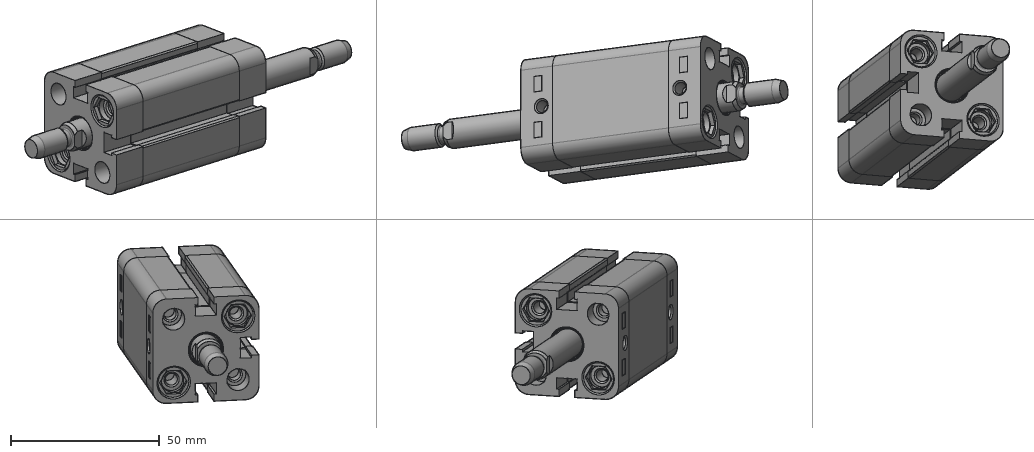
import cadquery as cq
import math


body_size = 36.3
half_size = body_size / 2
corner_radius = 4.7
cap_length = 12.0
barrel_length = 43.5
body_length = 2 * cap_length + barrel_length

slot_opening = 5.5
slot_lip = 2.5
cap_slot_width = 7.2
cap_slot_depth = 6.4
barrel_slot_width = 6.4
barrel_slot_depth = 6.1
barrel_lip_chamfer = 0.5
slot_angles = (-90, 0, 90)

rod_diameter = 10.0
stroke = 30.0
front_reach = 22.3
rear_reach = front_reach + stroke
thread_diameter = 8.0
thread_tip_diameter = 6.4
thread_tip_length = 2.6
thread_length = 13.6
thread_root_chamfer = 0.6
neck_diameter = 5.8
neck_length = 2.4
neck_fillet = 0.4
shoulder_chamfer_length = 1.4
shoulder_end_diameter = 8.8
flat_distance = 8.0
flat_length = 3.5
seal_recess_diameter = 12.0
seal_recess_chamfer = 0.3
seal_recess_depth = 1.0
seal_diameter = 10.9
seal_depth = 1.5

hole_offset = 11.0
bore_diameter = 7.55
bore_depth = 6.5
pilot_mouth_diameter = 5.2
pilot_diameter = 4.13
pilot_depth = 11.0
mouth_depth = (pilot_mouth_diameter - pilot_diameter) / 2
socket_mouth_diameter = 11.4
socket_recess_diameter = 10.48
socket_recess_depth = (socket_mouth_diameter - socket_recess_diameter) / 2
hex_across_flats = 8.1
hex_across_corners = hex_across_flats / math.cos(math.radians(30))
hex_depth = 2.0
socket_bore_depth = 4.0

port_from_face = 7.75
port_depth = 6.0
pad_from_face = 6.4
pad_offset = 8.0
pad_length = 3.0
pad_height = 5.4
pad_depth = 0.2


def y_cylinder(diameter, start, length, x=0, z=0):
    """Cylinder along +Y from Y = start."""
    return (
        cq.Workplane("XZ", origin=(x, start, z))
        .circle(diameter / 2)
        .extrude(-length)
    )


def y_cone(start_diameter, end_diameter, start, length, x=0, z=0):
    """Truncated cone along +Y from Y = start."""
    cone = cq.Solid.makeCone(
        start_diameter / 2,
        end_diameter / 2,
        length,
        pnt=cq.Vector(x, start, z),
        dir=cq.Vector(0, 1, 0),
    )
    return cq.Workplane(cone)


def pilot_hole(start, length, x=0, z=0):
    """Small hole with a conical mouth, along +Y from Y = start."""
    mouth = y_cone(pilot_mouth_diameter, pilot_diameter, start, mouth_depth, x, z)
    return y_cylinder(pilot_diameter, start, length, x, z).union(mouth)


def slot_cutter(width, depth, lip_chamfer, start, length):
    """T-slot in the +X side, along +Y."""
    floor = half_size - depth
    lip = half_size - slot_lip
    half_opening = slot_opening / 2
    upper = [
        (floor, width / 2),
        (lip, width / 2),
        (lip, half_opening),
    ]
    if lip_chamfer:
        upper.append((half_size - lip_chamfer, half_opening))
    upper.append((half_size, half_opening + lip_chamfer))
    outline = upper + [(x, -z) for x, z in reversed(upper)]
    return cq.Workplane("XZ", origin=(0, start, 0)).polyline(outline).close().extrude(-length)


def slotted_block(start, length, width, depth, lip_chamfer):
    """Rounded square block with the three T-slots."""
    block = (
        cq.Workplane("XZ", origin=(0, start, 0))
        .rect(body_size, body_size)
        .extrude(-length)
        .edges("|Y")
        .fillet(corner_radius)
    )
    slot = slot_cutter(width, depth, lip_chamfer, start, length)
    for angle in slot_angles:
        block = block.cut(slot.rotate((0, 0, 0), (0, 1, 0), angle))
    return block


def mounting_hole(depth, x, z):
    """Blind stepped hole: plain bore, then a pilot hole at its floor."""
    bore = y_cylinder(bore_diameter, 0, depth, x, z)
    return bore.union(pilot_hole(depth, pilot_depth - depth, x, z))


def socket_hole(x, z):
    """Mounting hole widened by a hexagonal socket and a shallow conical recess."""
    recess = y_cone(socket_mouth_diameter, socket_recess_diameter, 0, socket_recess_depth, x, z)
    socket = (
        cq.Workplane("XZ", origin=(x, 0, z))
        .polygon(6, hex_across_corners)
        .extrude(-hex_depth)
    )
    return mounting_hole(socket_bore_depth, x, z).union(socket).union(recess)


def seal_recess():
    """Stepped recess with a chamfered mouth around the rod."""
    bore_width = seal_recess_diameter - 2 * seal_recess_chamfer
    mouth = y_cone(seal_recess_diameter, bore_width, 0, seal_recess_chamfer)
    recess = y_cylinder(bore_width, 0, seal_recess_depth)
    return recess.union(mouth).union(y_cylinder(seal_diameter, 0, seal_depth))


def make_cap():
    """Front end cap, with its outer face at Y = 0."""
    cap = slotted_block(0, cap_length, cap_slot_width, cap_slot_depth, 0)
    cap = cap.cut(y_cylinder(rod_diameter, 0, cap_length))
    cap = cap.cut(seal_recess())
    for side in (-1, 1):
        cap = cap.cut(mounting_hole(bore_depth, side * hole_offset, -side * hole_offset))
        cap = cap.cut(socket_hole(side * hole_offset, side * hole_offset))
        pad = cq.Workplane("XY").box(2 * pad_depth, pad_length, pad_height)
        cap = cap.cut(pad.translate((-half_size, pad_from_face, side * pad_offset)))
    port = pilot_hole(0, port_depth).rotate((0, 0, 0), (0, 0, 1), -90)
    return cap.cut(port.translate((-half_size, port_from_face, 0)))


def make_barrel():
    """Profile barrel between the caps."""
    barrel = slotted_block(
        cap_length, barrel_length, barrel_slot_width, barrel_slot_depth, barrel_lip_chamfer
    )
    return barrel.cut(y_cylinder(rod_diameter, cap_length, barrel_length))


def make_rod(reach):
    """Rod from the barrel middle out through the front, ending `reach` beyond the face."""
    tip = -reach
    thread_end = tip + thread_length
    shoulder = thread_end + neck_length
    rod_radius = rod_diameter / 2
    thread_radius = thread_diameter / 2
    neck_radius = neck_diameter / 2
    fillet_radius = neck_radius + neck_fillet
    rod = (
        cq.Workplane("XY")
        .moveTo(0, tip)
        .lineTo(thread_tip_diameter / 2, tip)
        .lineTo(thread_radius, tip + thread_tip_length)
        .lineTo(thread_radius, thread_end - thread_root_chamfer)
        .lineTo(fillet_radius, thread_end)
        .radiusArc((neck_radius, thread_end + neck_fillet), neck_fillet)
        .lineTo(neck_radius, shoulder - neck_fillet)
        .radiusArc((fillet_radius, shoulder), neck_fillet)
        .lineTo(shoulder_end_diameter / 2, shoulder)
        .lineTo(rod_radius, shoulder + shoulder_chamfer_length)
        .lineTo(rod_radius, body_length / 2)
        .lineTo(0, body_length / 2)
        .close()
        .revolve(360, (0, 0, 0), (0, 1, 0))
    )
    flat = flat_distance / 2
    flat_end = shoulder + flat_length
    flat_cutter = (
        cq.Workplane("XY")
        .polyline([
            (flat, shoulder),
            (flat, flat_end),
            (rod_radius, flat_end + rod_radius - flat),
            (rod_radius, shoulder),
        ])
        .close()
        .extrude(rod_radius, both=True)
    )
    return rod.cut(flat_cutter).cut(flat_cutter.mirror("YZ"))


def to_rear(shape):
    """Mirror a front-end shape to the rear end of the body."""
    return shape.mirror("XZ", (0, body_length / 2, 0))


front_cap = make_cap()
rear_cap = to_rear(front_cap)
barrel = make_barrel()
front_rod = make_rod(front_reach)
rear_rod = to_rear(make_rod(rear_reach))

result = cq.Compound.makeCompound(
    [front_cap.val(), rear_cap.val(), barrel.val(), front_rod.val(), rear_rod.val()]
)